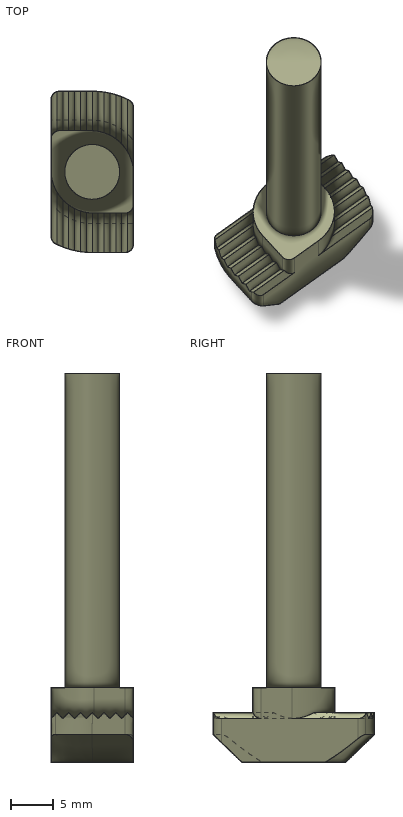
import cadquery as cq
import math

width = 9.7
length = 19.0
height = 45.8
half_width = width / 2
half_length = length / 2

shank_diameter = 6.45
collar_top = 8.8
collar_swing_radius = 5.05
corner_radius = 1.0

crest_height = 5.85
bevel_height = 3.3
bottom_half_length = 6.1

tooth_count = 7
tooth_pitch = width / tooth_count
tooth_depth = tooth_pitch / 2
root_height = crest_height - tooth_depth


def head_blank():
    """Rectangle whose two opposite corners follow the turning circle of the head."""
    arc_end = math.sqrt(half_length**2 - half_width**2)
    mid_angle = (math.pi / 2 + math.atan2(arc_end, half_width)) / 2
    mid_x = half_length * math.cos(mid_angle)
    mid_y = half_length * math.sin(mid_angle)
    return (
        cq.Workplane("XY")
        .moveTo(0, half_length)
        .threePointArc((mid_x, mid_y), (half_width, arc_end))
        .lineTo(half_width, -half_length)
        .lineTo(0, -half_length)
        .threePointArc((-mid_x, -mid_y), (-half_width, -arc_end))
        .lineTo(-half_width, half_length)
        .close()
        .extrude(crest_height)
        .edges("|Z and (>X or <X)")
        .fillet(corner_radius)
    )


def bevel_envelope():
    """Conical underside bevels at the swung corners, flat ones at the other two."""
    half_profile = [
        (0, 0),
        (bottom_half_length, 0),
        (half_length, bevel_height),
        (half_length, crest_height),
        (0, crest_height),
    ]
    envelope = cq.Workplane("XZ").polyline(half_profile).close().revolve(360, (0, 0), (0, 1))
    flat_half = cq.Workplane("YZ").polyline(half_profile).close().extrude(-half_width)
    return envelope.union(flat_half).union(flat_half.rotate((0, 0, 0), (0, 0, 1), 180))


def serration_envelope():
    """Prism along Y with a row of right-angled teeth on top."""
    points = [(-half_width, 0), (-half_width, root_height)]
    for tooth in range(tooth_count):
        root_x = -half_width + tooth * tooth_pitch
        points.append((root_x + tooth_pitch / 2, crest_height))
        points.append((root_x + tooth_pitch, root_height))
    points.append((half_width, 0))
    return cq.Workplane("XZ").polyline(points).close().extrude(half_length, both=True)


def collar():
    """Square neck with two swung corners and two small rounded corners."""
    neck = cq.Workplane("XY", origin=(0, 0, bevel_height)).rect(width, width)
    neck = neck.extrude(collar_top - bevel_height)
    diagonals = [((1, 1, 0), collar_swing_radius), ((1, -1, 0), corner_radius)]
    for direction, radius in diagonals:
        for farthest in (True, False):
            corner = cq.selectors.DirectionMinMaxSelector(cq.Vector(*direction), farthest)
            neck = neck.edges("|Z").edges(corner).fillet(radius)
    return neck


head = head_blank().intersect(bevel_envelope()).intersect(serration_envelope())
shank = (
    cq.Workplane("XY", origin=(0, 0, collar_top))
    .circle(shank_diameter / 2)
    .extrude(height - collar_top)
)
result = head.union(collar()).union(shank)